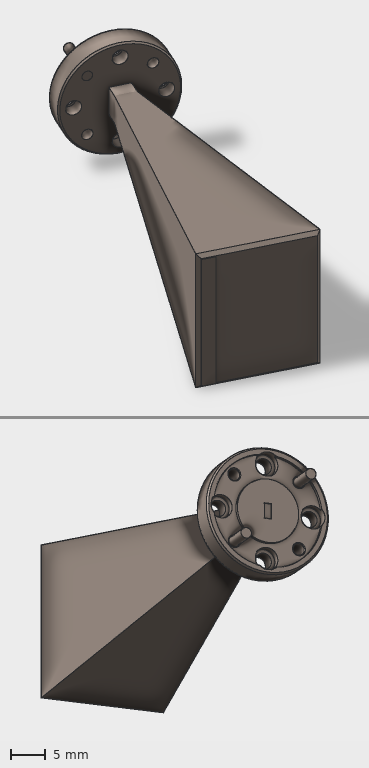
import cadquery as cq
import math

length = 67.4
mouth_width = 19.05
mouth_height = 23.1

flange_front = 4.0
flange_back = 7.95
flange_thickness = flange_back - flange_front
flange_radius = 19.05 / 2
flange_chamfer = 0.3
recess_outer_radius = 8.5
recess_inner_radius = 4.8
recess_depth = 0.55
waveguide_width = 1.15
waveguide_height = 2.3
waveguide_depth = 0.3

bolt_circle_radius = 7.15
screw_hole_radius = 1.2
counterbore_radius = 1.75
counterbore_depth = 1.7
pin_radius = 0.8
open_hole_radius = 0.9
countersink = 0.15
screw_angles = [0, 90, 180, 270]
pin_angles = [135, 315]
open_hole_angles = [45, 225]

neck_end = 10.4
neck_width = 3.5
neck_height = 4.7
strip_thickness = 0.2
mouth_face = length - strip_thickness
mouth_chamfer = 0.6
strip_width = 2.2


def plane_at(x):
    """YZ workplane at x: local x is +Y, local y is +Z, extrusion runs toward +X."""
    return cq.Workplane("YZ", origin=(x, 0, 0))


def bolt_circle(angles):
    """Points on the bolt circle, with angles measured from +Y toward +Z."""
    return [
        (bolt_circle_radius * math.cos(math.radians(a)), bolt_circle_radius * math.sin(math.radians(a)))
        for a in angles
    ]


def through_holes(angles, radius):
    """Cylinders through the whole flange on the bolt circle."""
    return plane_at(flange_front).pushPoints(bolt_circle(angles)).circle(radius).extrude(flange_thickness)


def countersunk_holes(angles, radius):
    """Through holes with a small countersink at the floor of the annular recess."""
    floor = flange_front + recess_depth
    countersinks = (
        plane_at(floor).pushPoints(bolt_circle(angles)).circle(radius + countersink)
        .extrude(countersink, taper=45)
    )
    entries = (
        plane_at(flange_front).pushPoints(bolt_circle(angles)).circle(radius + countersink)
        .extrude(recess_depth)
    )
    return through_holes(angles, radius).union(countersinks).union(entries)


def make_flange():
    """Round flange with an annular recess, shallow waveguide pocket and bolt circle."""
    flange = plane_at(flange_front).circle(flange_radius).extrude(flange_thickness)
    flange = flange.faces("<X or >X").chamfer(flange_chamfer)
    recess = plane_at(flange_front).circle(recess_outer_radius).circle(recess_inner_radius)
    flange = flange.cut(recess.extrude(recess_depth))
    waveguide = plane_at(flange_front).rect(waveguide_width, waveguide_height)
    flange = flange.cut(waveguide.extrude(waveguide_depth))

    counterbores = plane_at(flange_front).pushPoints(bolt_circle(screw_angles)).circle(counterbore_radius)
    flange = flange.cut(counterbores.extrude(counterbore_depth))
    flange = flange.cut(through_holes(screw_angles, screw_hole_radius))
    flange = flange.cut(countersunk_holes(pin_angles, pin_radius))
    return flange.cut(countersunk_holes(open_hole_angles, open_hole_radius))


def make_pin(center):
    """Alignment pin from its free tip to the back of the flange."""
    return plane_at(0).center(*center).circle(pin_radius).extrude(flange_back)


def make_horn():
    """Straight neck, pyramidal flare, chamfered mouth and a raised strip along one mouth edge."""
    mouth_start = mouth_face - mouth_chamfer
    face_width = mouth_width - 2 * mouth_chamfer
    face_height = mouth_height - 2 * mouth_chamfer

    neck = plane_at(flange_back).rect(neck_width, neck_height).extrude(neck_end - flange_back)
    flare = (
        plane_at(neck_end).rect(neck_width, neck_height)
        .workplane(offset=mouth_start - neck_end).rect(mouth_width, mouth_height)
        .loft(ruled=True)
    )
    mouth = (
        plane_at(mouth_start).rect(mouth_width, mouth_height)
        .workplane(offset=mouth_chamfer).rect(face_width, face_height)
        .loft(ruled=True)
    )
    strip_center = (strip_width - face_width) / 2
    strip = plane_at(mouth_face).center(strip_center, 0).rect(strip_width, face_height).extrude(strip_thickness)
    return neck.union(flare).union(mouth).union(strip)


flange = make_flange()
horn = make_horn()
pins = [make_pin(center) for center in bolt_circle(pin_angles)]

result = cq.Compound.makeCompound([flange.val(), horn.val(), *[pin.val() for pin in pins]])